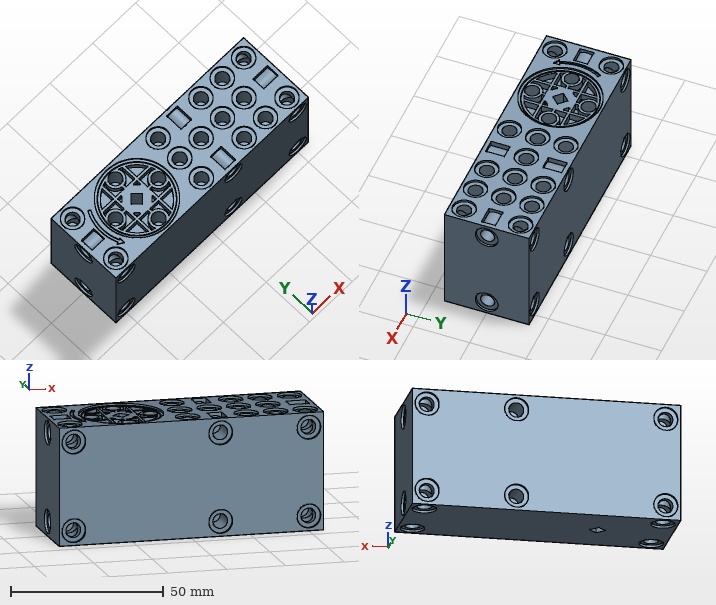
import cadquery as cq
import math

LENGTH = 90.0
PITCH = LENGTH / 9
WIDTH = 3 * PITCH
HEIGHT = 4 * PITCH
TOP = HEIGHT / 2
OVERCUT = 0.9

SOCKET_DIAMETER = 4.95
SOCKET_DEPTH = PITCH
COUNTERBORE_DIAMETER = 8.0
COUNTERBORE_DEPTH = 0.8

WINDOW_WIDTH = SOCKET_DIAMETER
WINDOW_EDGE_GAP = 1.5
WINDOW_LENGTH = 6.7
SHORT_WINDOW_LENGTH = 5.8
SOCKET_AXIS_DEPTH = PITCH / 2
TUBE_DIAMETER = 7.9

DISC_X = -LENGTH / 2 + 2.5 * PITCH
RECESS_RADIUS = 14.0
RECESS_DEPTH = 0.6
DISC_RADIUS = 13.0
GAP_WIDTH = 0.2
GAP_DEPTH = 0.3
RIM_INNER_RADIUS = 12.1
POCKET_DEPTH = 2.4
RIB_WIDTH = 1.0
RIB_OFFSET = PITCH / 2
BOSS_DIAMETER = 7.0
HUB_POCKET_SIZE = 1.6
HUB_POCKET_CHAMFER = 1.2
SHAFT_SQUARE = 3.8

ARROW_INNER_RADIUS = 15.75
ARROW_OUTER_RADIUS = 16.7
ARROW_HEAD_INNER_RADIUS = 15.2
ARROW_HEAD_OUTER_RADIUS = 17.55
ARROW_DEPTH = 0.5
ARROW_START = 150
ARROW_NECK = 203
ARROW_TIP = 210

DISC_TOP = TOP - RECESS_DEPTH


def column(number):
    """X of a module column, counted from 0 at the -X end."""
    return -LENGTH / 2 + (number + 0.5) * PITCH


def socket(point, inward):
    """Cutter for one counterbored pin socket, entering the block along `inward`."""
    plane = cq.Plane(origin=point, normal=inward)
    hole_length = SOCKET_DEPTH + OVERCUT
    counterbore_length = COUNTERBORE_DEPTH + OVERCUT
    start = cq.Workplane(plane).workplane(offset=-OVERCUT)
    hole = start.circle(SOCKET_DIAMETER / 2).extrude(hole_length)
    return hole.union(start.circle(COUNTERBORE_DIAMETER / 2).extrude(counterbore_length))


def window(x, y, length, turn):
    """Cutter for a window centred on (x, y), its length turned from X; its floor is the tube below."""
    box = cq.Workplane("XY").box(length, WINDOW_WIDTH, SOCKET_AXIS_DEPTH + OVERCUT)
    box = box.translate((0, 0, (SOCKET_AXIS_DEPTH + OVERCUT) / 2))
    tube = cq.Workplane("YZ").circle(TUBE_DIAMETER / 2).extrude(length / 2, both=True)
    opening = box.cut(tube).rotate((0, 0, 0), (0, 0, 1), turn)
    return opening.translate((x, y, TOP - SOCKET_AXIS_DEPTH))


def disc_plane(z):
    """Horizontal workplane centred on the turntable."""
    return cq.Workplane("XY", origin=(DISC_X, 0, z))


def polar(radius, degrees):
    """Point at a radius and angle about the turntable centre."""
    angle = math.radians(degrees)
    return (radius * math.cos(angle), radius * math.sin(angle))


def turntable_pockets():
    """Lightening pockets left between the rim, ribs, bosses and hub of the disc."""
    base = disc_plane(DISC_TOP - POCKET_DEPTH)
    rim_diameter = 2 * RIM_INNER_RADIUS
    pockets = base.circle(RIM_INNER_RADIUS).extrude(POCKET_DEPTH)

    rib_centres_x = [(-RIB_OFFSET, 0), (RIB_OFFSET, 0)]
    rib_centres_y = [(0, -RIB_OFFSET), (0, RIB_OFFSET)]
    hub_side = 2 * RIB_OFFSET
    pockets = pockets.cut(base.pushPoints(rib_centres_x).rect(RIB_WIDTH, rim_diameter).extrude(POCKET_DEPTH))
    pockets = pockets.cut(base.pushPoints(rib_centres_y).rect(rim_diameter, RIB_WIDTH).extrude(POCKET_DEPTH))
    pockets = pockets.cut(base.rect(hub_side, hub_side).extrude(POCKET_DEPTH))

    bosses = base.polarArray(PITCH, 0, 360, 4).circle(BOSS_DIAMETER / 2).extrude(POCKET_DEPTH)
    ties = base.rect(2 * PITCH, RIB_WIDTH).extrude(POCKET_DEPTH)
    ties = ties.union(base.rect(RIB_WIDTH, 2 * PITCH).extrude(POCKET_DEPTH))
    pockets = pockets.cut(bosses).cut(ties)

    outer = RIB_OFFSET - RIB_WIDTH / 2
    inner = outer - HUB_POCKET_SIZE
    bevel = inner + HUB_POCKET_CHAMFER
    corner = [(outer, outer), (inner, outer), (inner, bevel), (bevel, inner), (outer, inner)]
    hub_pocket = base.polyline(corner).close().extrude(POCKET_DEPTH)
    for turn in range(4):
        pockets = pockets.union(hub_pocket.rotate((DISC_X, 0, 0), (DISC_X, 0, 1), 90 * turn))
    return pockets


def rotation_arrow():
    """Cutter for the curved arrow beside the turntable."""
    middle = (ARROW_START + ARROW_NECK) / 2
    tip_radius = (ARROW_INNER_RADIUS + ARROW_OUTER_RADIUS) / 2
    return (
        disc_plane(TOP - ARROW_DEPTH)
        .moveTo(*polar(ARROW_OUTER_RADIUS, ARROW_START))
        .threePointArc(polar(ARROW_OUTER_RADIUS, middle), polar(ARROW_OUTER_RADIUS, ARROW_NECK))
        .lineTo(*polar(ARROW_HEAD_OUTER_RADIUS, ARROW_NECK))
        .lineTo(*polar(tip_radius, ARROW_TIP))
        .lineTo(*polar(ARROW_HEAD_INNER_RADIUS, ARROW_NECK))
        .lineTo(*polar(ARROW_INNER_RADIUS, ARROW_NECK))
        .threePointArc(polar(ARROW_INNER_RADIUS, middle), polar(ARROW_INNER_RADIUS, ARROW_START))
        .close()
        .extrude(ARROW_DEPTH + OVERCUT)
    )


result = cq.Workplane("XY").box(LENGTH, WIDTH, HEIGHT)

recess = disc_plane(DISC_TOP).circle(RECESS_RADIUS).extrude(RECESS_DEPTH + OVERCUT)
gap = disc_plane(DISC_TOP - GAP_DEPTH).circle(DISC_RADIUS + GAP_WIDTH).circle(DISC_RADIUS).extrude(GAP_DEPTH)
shaft_hole = disc_plane(-TOP).transformed(rotate=(0, 0, 45)).rect(SHAFT_SQUARE, SHAFT_SQUARE).extrude(HEIGHT)
socket_centres = disc_plane(TOP - SOCKET_DEPTH).polarArray(PITCH, 0, 360, 4)
disc_sockets = socket_centres.circle(SOCKET_DIAMETER / 2).extrude(SOCKET_DEPTH)
for cutter in (recess, gap, turntable_pockets(), shaft_hole, disc_sockets, rotation_arrow()):
    result = result.cut(cutter)

CORNER_COLUMNS = (0, 8)
WINDOW_COLUMN = 5
SIDE_COLUMNS = (0, WINDOW_COLUMN, 8)
SIDE_LEVELS = (-1.5 * PITCH, 1.5 * PITCH)
OUTER_ROWS = (-PITCH, PITCH)
ALL_ROWS = (-PITCH, 0, PITCH)
TOP_ROWS = {
    0: OUTER_ROWS,
    4: ALL_ROWS,
    WINDOW_COLUMN: (0,),
    6: ALL_ROWS,
    7: ALL_ROWS,
    8: OUTER_ROWS,
}

for number, rows in TOP_ROWS.items():
    for y in rows:
        result = result.cut(socket((column(number), y, TOP), (0, 0, -1)))

for number in CORNER_COLUMNS:
    for y in OUTER_ROWS:
        result = result.cut(socket((column(number), y, -TOP), (0, 0, 1)))

for z in SIDE_LEVELS:
    for side in (-1, 1):
        for number in SIDE_COLUMNS:
            result = result.cut(socket((column(number), side * WIDTH / 2, z), (0, -side, 0)))
        result = result.cut(socket((side * LENGTH / 2, 0, z), (-side, 0, 0)))

window_inset = WINDOW_EDGE_GAP + WINDOW_LENGTH / 2
short_window_inset = WINDOW_EDGE_GAP + SHORT_WINDOW_LENGTH / 2
for side in (-1, 1):
    y = side * (WIDTH / 2 - window_inset)
    result = result.cut(window(column(WINDOW_COLUMN), y, WINDOW_LENGTH, 90))
result = result.cut(window(LENGTH / 2 - window_inset, 0, WINDOW_LENGTH, 0))
result = result.cut(window(-LENGTH / 2 + short_window_inset, 0, SHORT_WINDOW_LENGTH, 0))